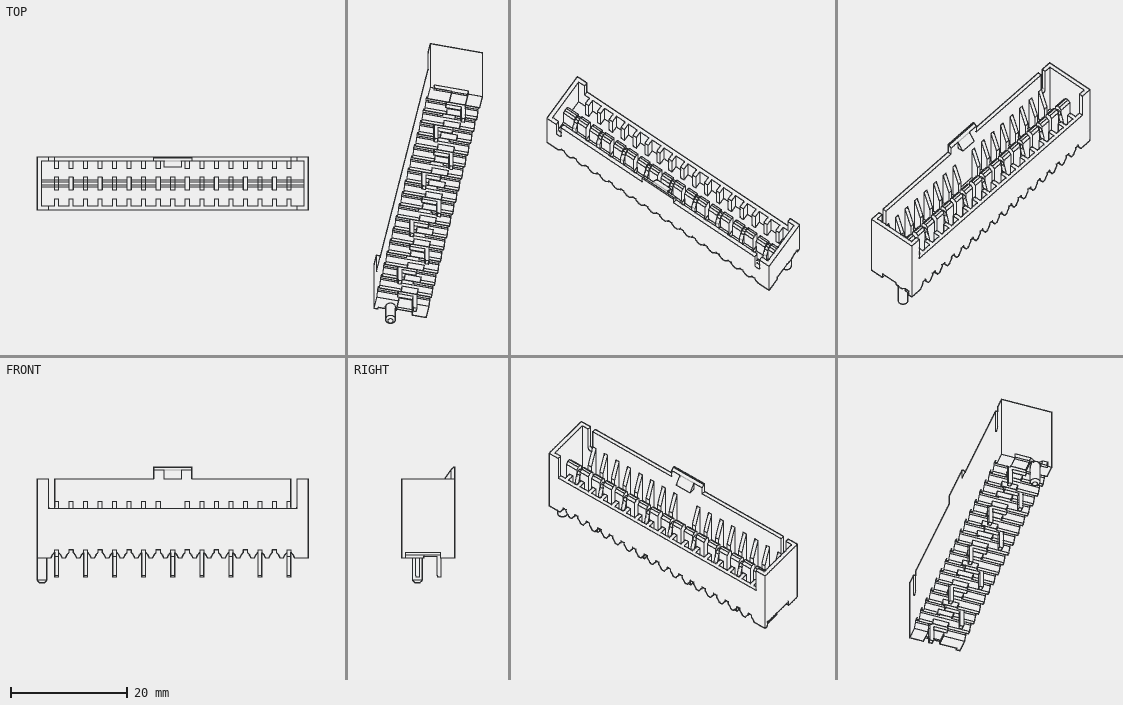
import cadquery as cq


length = 46.7
width = 9.2
height = 13.65
wall = 0.7
end_wall = 0.75
front_wall_top = 8.58
corner_post = 2.0
floor_bottom = 0.56
floor_top = 2.5

pitch = 2.5
position_count = 17
slot_width = 0.7
slot_half_length = 1.1

tongue_gap = 1.0
gap_arc_height = 8.8
latch_width = 6.6
latch_top = 15.65
latch_bevel = 0.45
hook_width = 3.0
hook_reach = 1.1

rib_width = 0.7
back_rib_top = 9.75
back_rib_shoulder = 6.1
back_rib_depth = 1.3
front_rib_depth = 1.2

ridge_half_width = 0.64
ridge_flat_half_width = 0.22
ridge_top = 8.15
ridge_bevel = ridge_half_width - ridge_flat_half_width

channel_back = 2.1
front_foot_back = -0.75
end_notch_height = 1.0
foot_setback = 0.35
wire_notch_top = 1.44
wire_notch_shoulder = 0.97
wire_notch_bulge_half_width = 0.7
wire_notch_bulge_height = 0.53
wire_notch_mouth_half_width = 0.95

contact_half_depth = slot_half_length
contact_shoulder = 5.0
contact_crest_drop = 0.9
contact_bottom = 0.27
leg_outer = 2.2
leg_thickness = 0.7
leg_tip = -3.27
leg_chamfer_height = 0.3
leg_chamfer_depth = 0.15

peg_diameter = 1.7
peg_y = -1.87
peg_tip = -4.25
peg_chamfer_height = 0.45
peg_chamfer_width = 0.4
peg_pad_bottom = 0.45
peg_pad_half_width = 0.45
peg_pad_root_half_width = 1.1

half_length = length / 2
half_width = width / 2
inner_x = half_length - end_wall
inner_y = half_width - wall
opening_half = half_length - corner_post
peg_x = -half_length + peg_diameter / 2


def block(x0, x1, y0, y1, z0, z1):
    return cq.Workplane("XY").box(x1 - x0, y1 - y0, z1 - z0, centered=False).translate((x0, y0, z0))


def prism_along_x(yz_points, x_centre, x_width):
    profile = cq.Workplane("YZ").polyline(yz_points).close()
    return profile.extrude(x_width / 2, both=True).translate((x_centre, 0, 0))


def position_x(index):
    return (index - (position_count - 1) / 2) * pitch


def make_shell():
    shell = block(-half_length, half_length, -half_width, half_width, 0, height)
    cavity = block(-inner_x, inner_x, -inner_y, inner_y, floor_top, height)
    front_opening = block(-opening_half, opening_half, -half_width, -inner_y, front_wall_top, height)
    channel = block(-inner_x, inner_x, front_foot_back, channel_back, 0, floor_bottom)
    return shell.cut(cavity).cut(front_opening).cut(channel)


def cut_tongue_gaps(body):
    """Round-bottomed gaps free the back wall from the corner posts."""
    for side in (-1, 1):
        centre = side * (opening_half - tongue_gap / 2)
        gap = block(
            centre - tongue_gap / 2,
            centre + tongue_gap / 2,
            inner_y,
            half_width,
            gap_arc_height,
            height,
        )
        round_end = (
            cq.Workplane("XZ", origin=(centre, half_width, gap_arc_height))
            .circle(tongue_gap / 2)
            .extrude(wall)
        )
        body = body.cut(gap).cut(round_end)
    return body


def make_latch():
    bevel_bottom = latch_top - latch_bevel
    tab = prism_along_x(
        [
            (half_width, height),
            (half_width, latch_top),
            (inner_y + latch_bevel, latch_top),
            (inner_y, bevel_bottom),
            (inner_y, height),
        ],
        0,
        latch_width,
    )
    hook = prism_along_x(
        [(inner_y, bevel_bottom), (inner_y - hook_reach, height), (inner_y, height)],
        0,
        hook_width,
    )
    return tab.union(hook)


def make_back_rib(x):
    rib_front = inner_y - back_rib_depth
    points = [
        (inner_y, floor_top),
        (inner_y, back_rib_top),
        (rib_front, back_rib_shoulder),
        (rib_front, floor_top),
    ]
    return prism_along_x(points, x, rib_width)


def make_front_rib(x):
    return block(
        x - rib_width / 2,
        x + rib_width / 2,
        -inner_y,
        -inner_y + front_rib_depth,
        floor_top,
        front_wall_top,
    )


def bevelled_crest(top):
    """Bevelled top line of the ridge and of the contacts, from -Y to +Y."""
    bevel_bottom = top - ridge_bevel
    return [
        (-ridge_half_width, bevel_bottom),
        (-ridge_flat_half_width, top),
        (ridge_flat_half_width, top),
        (ridge_half_width, bevel_bottom),
    ]


def make_ridge():
    points = [(-ridge_half_width, floor_top)] + bevelled_crest(ridge_top) + [(ridge_half_width, floor_top)]
    return prism_along_x(points, 0, 2 * inner_x)


def make_contact_slot(x):
    return block(
        x - slot_width / 2,
        x + slot_width / 2,
        -slot_half_length,
        slot_half_length,
        0,
        ridge_top,
    )


def make_wire_notch(x):
    """Flared notch across the full width of the underside."""
    half_slot = slot_width / 2
    profile = (
        cq.Workplane("XZ", origin=(x, half_width, 0))
        .moveTo(-wire_notch_mouth_half_width, 0)
        .threePointArc(
            (-wire_notch_bulge_half_width, wire_notch_bulge_height),
            (-half_slot, wire_notch_shoulder),
        )
        .lineTo(-half_slot, wire_notch_top)
        .lineTo(half_slot, wire_notch_top)
        .lineTo(half_slot, wire_notch_shoulder)
        .threePointArc(
            (wire_notch_bulge_half_width, wire_notch_bulge_height),
            (wire_notch_mouth_half_width, 0),
        )
        .close()
    )
    return profile.extrude(width)


def cut_end_notches(body):
    """Low notches through both end walls, leaving the front foot standing inside each of them."""
    notch = block(-half_length, -inner_x, -inner_y, channel_back, 0, end_notch_height)
    foot = block(-half_length + foot_setback, -inner_x, -inner_y, front_foot_back, 0, floor_bottom)
    notch = notch.cut(foot)
    return body.cut(notch).cut(notch.mirror("YZ"))


def cut_peg_clearance(body):
    """Opening in the foot that exposes the outer half of the peg."""
    clearance = block(
        -half_length,
        peg_x,
        peg_y - peg_diameter / 2,
        peg_y + peg_diameter / 2,
        0,
        peg_pad_bottom,
    )
    return body.cut(clearance)


def make_peg():
    pad = prism_along_x(
        [
            (peg_y - peg_pad_root_half_width, end_notch_height),
            (peg_y - peg_pad_half_width, peg_pad_bottom),
            (peg_y + peg_pad_half_width, peg_pad_bottom),
            (peg_y + peg_pad_root_half_width, end_notch_height),
        ],
        -half_length + end_wall / 2,
        end_wall,
    )
    peg = (
        cq.Workplane("XY", origin=(peg_x, peg_y, peg_tip))
        .circle(peg_diameter / 2)
        .extrude(peg_pad_bottom - peg_tip)
        .faces("<Z")
        .chamfer(peg_chamfer_height, peg_chamfer_width)
    )
    return pad.union(peg)


def make_contact(x, side):
    """Blade standing in the ridge slot, with an arm to a solder leg on the given Y side."""
    blade = prism_along_x(
        [(-contact_half_depth, contact_bottom), (-contact_half_depth, contact_shoulder)]
        + bevelled_crest(ridge_top - contact_crest_drop)
        + [(contact_half_depth, contact_shoulder), (contact_half_depth, contact_bottom)],
        x,
        slot_width,
    )
    leg_ends = sorted((side * leg_outer, side * (leg_outer - leg_thickness)))
    arm_ends = sorted((0, side * leg_outer))
    half_slot = slot_width / 2
    arm = block(x - half_slot, x + half_slot, arm_ends[0], arm_ends[1], contact_bottom, wire_notch_top)
    leg = prism_along_x(
        [
            (leg_ends[0], wire_notch_top),
            (leg_ends[0], leg_tip + leg_chamfer_height),
            (leg_ends[0] + leg_chamfer_depth, leg_tip),
            (leg_ends[1], leg_tip),
            (leg_ends[1], wire_notch_top),
        ],
        x,
        slot_width,
    )
    return blade.union(arm).union(leg)


def make_header():
    middle = position_count // 2
    body = cut_tongue_gaps(make_shell()).union(make_latch()).union(make_ridge())
    for index in range(position_count):
        x = position_x(index)
        body = body.union(make_front_rib(x))
        if index != middle:
            body = body.union(make_back_rib(x))
    for index in range(position_count):
        x = position_x(index)
        body = body.cut(make_contact_slot(x)).cut(make_wire_notch(x))
    body = cut_peg_clearance(cut_end_notches(body)).union(make_peg())
    for order, index in enumerate(range(0, position_count, 2)):
        row_side = 1 if order % 2 == 0 else -1
        body = body.union(make_contact(position_x(index), row_side))
    return body


result = make_header()